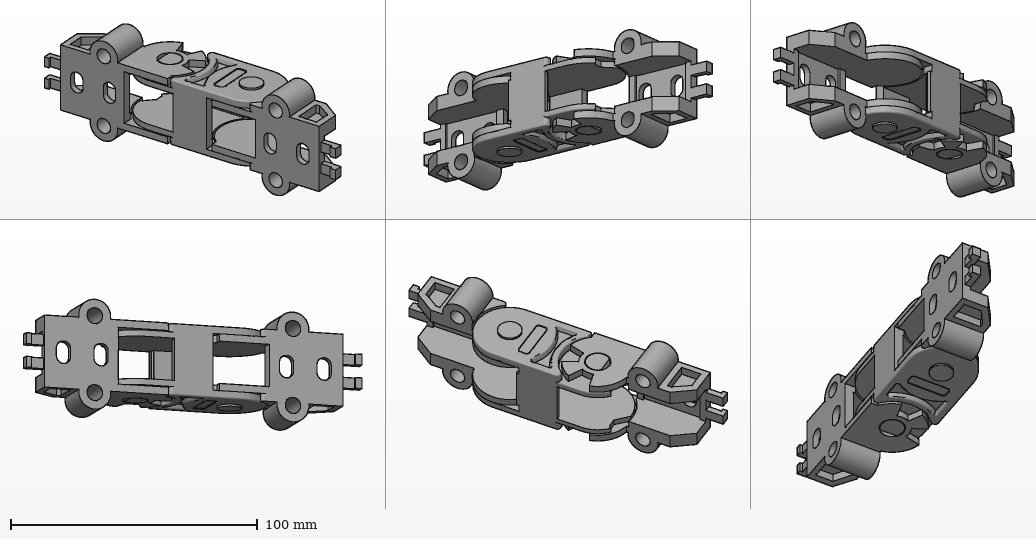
import cadquery as cq
import math


SELECT_MARGIN = 0.1

DEPTH = 30.1
PIVOT_X = 20.1
PIVOT_Y = DEPTH / 2
CHEEK_RADIUS = DEPTH / 2
CLEARANCE_RADIUS = 15.9

CHANNEL_Z = 8.7
LINK_INNER_Z = 11.3
CHEEK_SPLIT_Z = 11.8
OUTER_Z = 14.9

BRACKET_END_X = 63.7
BRACKET_HEIGHT = 18.2
BRACKET_SLOPE_Y = 11.9
BRACKET_SLOPE_X = 54.6
FLOOR_THICKNESS = 3.9
FLOOR_INNER_X = 32.3
RIGHT_FLOOR_SLANT = 0.7
FLOOR_RECESS_DEPTH = 1.0
FLOOR_RECESS_X = (35.1, 61.0)
ARM_FOOT = 9.2
RIGHT_FOOT = 8.9
CORNER_ROUND = 1.6

BOSS_X = 42.3
BOSS_Z = 15.9
BOSS_OUTER_Z = 22.73
BOSS_RADIUS = BOSS_OUTER_Z - BOSS_Z
SCREW_HOLE_RADIUS = 3.3
SLOT_XS = (39.6, 55.6)
SLOT_WIDTH = 6.0
SLOT_LENGTH = 9.3

POCKET_INNER_X = 51.9
POCKET_OUTER_X = 60.7
POCKET_CORNER_X = 53.6
POCKET_BOTTOM_Y = 2.6
POCKET_CORNER_Y = 10.5
POCKET_TOP_Y = 15.0
POCKET_DEPTH = 3.7

LEFT_TAB_TIP_X = 71.5
RIGHT_TAB_TIP_X = 71.8
LEFT_HOOK = 2.2
RIGHT_HOOK = 2.9
TAB_CENTER_Z = 4.9
TAB_WIDTH = 4.5
HOOK_DROP = 1.3

PIN_RADIUS = 5.0
PIN_HOLE_RADIUS = 5.3
PIN_PROTRUSION = 0.9
RAMP_START = 3.5
RAMP_DROP = 3.5

NOTCH_ROOT_RADIUS = 7.7
TOOTH_TIP_RADIUS = 14.6
NOTCH_START_ANGLE = -15
TOOTH_ANGLES = (27, 63)
NOTCH_END_ANGLE = 104

DETENT_FLOOR_X = -30.1
DETENT_FLOOR_Y = (20.1, 24.1)

LINK_LEFT_X = -10.2
LINK_EDGE_FILLET = 0.7
FRONT_WALL_HALF = 8.2
REAR_WALL_INNER_Y = 26.8
REAR_WALL_EDGE = ((8.2, 27.5), (8.9, 28.0), (9.3, 28.5))
BOWTIE_HALF_WIDTH = 5.5
BOWTIE_HALF_HEIGHT = 12.8
BOWTIE_ARC_RADIUS = 18.0
BOWTIE_DEPTH = 2.0
BOWTIE_TAPER = 22
BOWTIE_CORNER_ROUND = 0.6
BOWTIE_LIP = 0.7
BOWTIE_LIP_FILLET = 0.7
INDICATOR_X = 9.6
INDICATOR_WIDTH = 4.9
INDICATOR_HEIGHT = 17.8
INDICATOR_ROUND = 1.3
INDICATOR_DEPTH = 0.5


def box(x0, x1, y0, y1, z0, z1):
    return cq.Workplane("XY").box(x1 - x0, y1 - y0, z1 - z0, centered=False).translate((x0, y0, z0))


def pivot_disc(side, radius, z0, z1):
    """Round plate about the left (-1) or right (+1) pivot axis."""
    return cq.Workplane("XY", origin=(side * PIVOT_X, PIVOT_Y, z0)).circle(radius).extrude(z1 - z0)


def both_cheeks(cheek):
    """The shape together with its mirror image across the mid-plane."""
    return cheek.union(cheek.mirror("XY"))



def bracket_block(side, inner_x):
    """One cheek of a bracket with a sloped outer corner."""
    outline = [
        (side * inner_x, 0),
        (side * inner_x, BRACKET_HEIGHT),
        (side * BRACKET_SLOPE_X, BRACKET_HEIGHT),
        (side * BRACKET_END_X, BRACKET_SLOPE_Y),
        (side * BRACKET_END_X, 0),
    ]
    return cq.Workplane("XY", origin=(0, 0, CHANNEL_Z)).polyline(outline).close().extrude(OUTER_Z - CHANNEL_Z)


def screw_boss(side):
    boss = cq.Workplane("XZ", origin=(side * BOSS_X, 0, BOSS_Z)).circle(BOSS_RADIUS)
    return boss.extrude(-BRACKET_HEIGHT)


def screw_hole(side):
    hole = cq.Workplane("XZ", origin=(side * BOSS_X, 0, BOSS_Z)).circle(SCREW_HOLE_RADIUS)
    return hole.extrude(-BRACKET_HEIGHT)


def cheek_pocket(side):
    outline = [
        (side * POCKET_INNER_X, POCKET_BOTTOM_Y),
        (side * POCKET_INNER_X, POCKET_TOP_Y),
        (side * POCKET_CORNER_X, POCKET_TOP_Y),
        (side * POCKET_OUTER_X, POCKET_CORNER_Y),
        (side * POCKET_OUTER_X, POCKET_BOTTOM_Y),
    ]
    return cq.Workplane("XY", origin=(0, 0, OUTER_Z)).polyline(outline).close().extrude(-POCKET_DEPTH)


def bracket_floor(side, edge_slant):
    """Mounting plate between the cheeks, thinned around its two upright slots."""
    outline = [
        (side * FLOOR_INNER_X, 0),
        (side * (FLOOR_INNER_X - edge_slant), FLOOR_THICKNESS),
        (side * BRACKET_END_X, FLOOR_THICKNESS),
        (side * BRACKET_END_X, 0),
    ]
    floor = (
        cq.Workplane("XY", origin=(0, 0, -CHANNEL_Z)).polyline(outline).close().extrude(2 * CHANNEL_Z)
    )
    recess_start, recess_end = sorted(side * x for x in FLOOR_RECESS_X)
    recess_y = FLOOR_THICKNESS - FLOOR_RECESS_DEPTH
    floor = floor.cut(box(recess_start, recess_end, recess_y, FLOOR_THICKNESS, -CHANNEL_Z, CHANNEL_Z))
    slots = (
        cq.Workplane("XZ")
        .pushPoints([(side * x, 0) for x in SLOT_XS])
        .slot2D(SLOT_LENGTH, SLOT_WIDTH, 90)
        .extrude(-FLOOR_THICKNESS)
    )
    return floor.cut(slots)


def hooked_tabs(side, tip_x, hook):
    outline = [
        (side * BRACKET_END_X, HOOK_DROP),
        (side * BRACKET_END_X, FLOOR_THICKNESS),
        (side * tip_x, FLOOR_THICKNESS),
        (side * tip_x, 0),
        (side * (tip_x - hook), 0),
        (side * (tip_x - hook), HOOK_DROP),
    ]
    start_z = TAB_CENTER_Z - TAB_WIDTH / 2
    return both_cheeks(cq.Workplane("XY", origin=(0, 0, start_z)).polyline(outline).close().extrude(TAB_WIDTH))



def stop_notch(start_angle, end_angle, root_radius):
    """Sector cut from the arm, open at the rim and ending on a round root."""
    reach = 2 * CHEEK_RADIUS
    rim = [
        (reach * math.cos(math.radians(a)), reach * math.sin(math.radians(a)))
        for a in (start_angle, end_angle)
    ]
    height = OUTER_Z - CHEEK_SPLIT_Z
    wedge = (
        cq.Workplane("XY", origin=(-PIVOT_X, PIVOT_Y, CHEEK_SPLIT_Z))
        .polyline([(0, 0), *rim])
        .close()
        .extrude(height)
    )
    return wedge.cut(pivot_disc(-1, root_radius, CHEEK_SPLIT_Z, OUTER_Z))


def make_left_bracket():
    cheek = bracket_block(-1, FLOOR_INNER_X).union(screw_boss(-1))
    cheek = cheek.cut(pivot_disc(-1, CLEARANCE_RADIUS, CHANNEL_Z, CHEEK_SPLIT_Z))
    arm = pivot_disc(-1, CHEEK_RADIUS, CHEEK_SPLIT_Z, OUTER_Z)
    arm = arm.union(box(-FLOOR_INNER_X, -PIVOT_X + ARM_FOOT, 0, PIVOT_Y, CHEEK_SPLIT_Z, OUTER_Z))
    tooth_start, tooth_end = TOOTH_ANGLES
    arm = arm.cut(stop_notch(NOTCH_START_ANGLE, tooth_start, NOTCH_ROOT_RADIUS))
    arm = arm.cut(stop_notch(tooth_start, tooth_end, TOOTH_TIP_RADIUS))
    arm = arm.cut(stop_notch(tooth_end, NOTCH_END_ANGLE, NOTCH_ROOT_RADIUS))
    cheek = cheek.union(arm).cut(pivot_disc(-1, PIN_HOLE_RADIUS, CHEEK_SPLIT_Z, OUTER_Z))
    cheek = cheek.cut(screw_hole(-1)).cut(cheek_pocket(-1))
    return both_cheeks(cheek).union(bracket_floor(-1, 0)).union(hooked_tabs(-1, LEFT_TAB_TIP_X, LEFT_HOOK))



def make_right_bracket():
    cheek = bracket_block(1, PIVOT_X + RIGHT_FOOT).union(screw_boss(1))
    cheek = cheek.cut(box(0, FLOOR_INNER_X, 0, DEPTH, CHANNEL_Z, CHEEK_SPLIT_Z))
    cheek = cheek.cut(pivot_disc(1, CLEARANCE_RADIUS, CHEEK_SPLIT_Z, OUTER_Z))
    foot_corner = cq.selectors.NearestToPointSelector((PIVOT_X + RIGHT_FOOT, 0, OUTER_Z))
    cheek = cheek.edges("|Z").edges(foot_corner).fillet(CORNER_ROUND)
    arm = pivot_disc(1, CHEEK_RADIUS, CHANNEL_Z, CHEEK_SPLIT_Z)
    arm = arm.union(box(PIVOT_X - ARM_FOOT, BOSS_X, 0, PIVOT_Y, CHANNEL_Z, CHEEK_SPLIT_Z))
    pin = pivot_disc(1, PIN_RADIUS, CHEEK_SPLIT_Z, OUTER_Z + PIN_PROTRUSION)
    cheek = cheek.union(arm).union(pin).cut(screw_hole(1)).cut(cheek_pocket(1))
    floor = bracket_floor(1, RIGHT_FLOOR_SLANT)
    return both_cheeks(cheek).union(floor).union(hooked_tabs(1, RIGHT_TAB_TIP_X, RIGHT_HOOK))



def link_outer_plate():
    """Raised cheek from the concave left end to the round right end, with softened edges."""
    plate = box(LINK_LEFT_X, PIVOT_X, 0, DEPTH, CHANNEL_Z, OUTER_Z)
    plate = plate.edges("|Z and <X").fillet(CORNER_ROUND)
    plate = plate.union(pivot_disc(1, CHEEK_RADIUS, CHANNEL_Z, OUTER_Z))
    plate = plate.cut(pivot_disc(-1, CLEARANCE_RADIUS, CHANNEL_Z, OUTER_Z))
    return plate.faces(">Z").edges().fillet(LINK_EDGE_FILLET)


def bowtie_pocket():
    """Sloped pocket between two arcs centred on the pivots, inset to leave room for its rounded lip."""
    arc_radius = BOWTIE_ARC_RADIUS + BOWTIE_LIP
    w = BOWTIE_HALF_WIDTH - BOWTIE_LIP
    h = BOWTIE_HALF_HEIGHT - BOWTIE_LIP
    corner_y = math.sqrt(arc_radius**2 - (PIVOT_X - w) ** 2)
    waist = PIVOT_X - arc_radius
    pocket = (
        cq.Workplane("XY", origin=(0, PIVOT_Y, OUTER_Z))
        .moveTo(-w, corner_y)
        .lineTo(-w, h)
        .lineTo(w, h)
        .lineTo(w, corner_y)
        .threePointArc((waist, 0), (w, -corner_y))
        .lineTo(w, -h)
        .lineTo(-w, -h)
        .lineTo(-w, -corner_y)
        .threePointArc((-waist, 0), (-w, corner_y))
        .close()
        .extrude(-BOWTIE_DEPTH, taper=BOWTIE_TAPER)
    )
    for side_x in (-w, w):
        for side_y in (PIVOT_Y - h, PIVOT_Y + h):
            corner = cq.selectors.NearestToPointSelector((side_x, side_y, OUTER_Z - BOWTIE_DEPTH / 2))
            pocket = pocket.edges("not #Z").edges(corner).fillet(BOWTIE_CORNER_ROUND)
    return pocket


def cut_bowtie(cheek):
    """Sink the bowtie pocket and round its lip."""
    reach_x = BOWTIE_HALF_WIDTH
    reach_y = BOWTIE_HALF_HEIGHT
    lip = cq.selectors.BoxSelector(
        (-reach_x, PIVOT_Y - reach_y, OUTER_Z - SELECT_MARGIN),
        (reach_x, PIVOT_Y + reach_y, OUTER_Z + SELECT_MARGIN),
        boundingbox=True,
    )
    return cheek.cut(bowtie_pocket()).edges(lip).fillet(BOWTIE_LIP_FILLET)


def indicator_recess():
    outline = cq.Workplane("XY", origin=(INDICATOR_X, PIVOT_Y, OUTER_Z))
    outline = outline.rect(INDICATOR_WIDTH, INDICATOR_HEIGHT)
    return outline.extrude(-INDICATOR_DEPTH).edges("|Z").fillet(INDICATOR_ROUND)


def detent_notch():
    """Rim notch with a flat floor and 45-degree walls that open outboard."""
    low_y, high_y = DETENT_FLOOR_Y
    run = CHEEK_RADIUS / 2
    outline = [
        (DETENT_FLOOR_X, low_y),
        (DETENT_FLOOR_X, high_y),
        (DETENT_FLOOR_X - run, high_y + run),
        (DETENT_FLOOR_X - run, low_y - run),
    ]
    height = LINK_INNER_Z - CHANNEL_Z
    return cq.Workplane("XY", origin=(0, 0, CHANNEL_Z)).polyline(outline).close().extrude(height)


def link_inner_plate():
    """Plate round about the left pivot, its rim softened on the rear half only."""
    plate = pivot_disc(-1, CHEEK_RADIUS, CHANNEL_Z, LINK_INNER_Z)
    plate = plate.union(box(-PIVOT_X, FRONT_WALL_HALF, 0, DEPTH, CHANNEL_Z, LINK_INNER_Z))
    left_x = -PIVOT_X - CHEEK_RADIUS
    front_half = plate.intersect(box(left_x, FRONT_WALL_HALF, 0, PIVOT_Y, CHANNEL_Z, LINK_INNER_Z))
    rim = cq.selectors.BoxSelector(
        (left_x - SELECT_MARGIN, SELECT_MARGIN, LINK_INNER_Z - SELECT_MARGIN),
        (FRONT_WALL_HALF - SELECT_MARGIN, DEPTH + SELECT_MARGIN, LINK_INNER_Z + SELECT_MARGIN),
    )
    return plate.edges(rim).fillet(LINK_EDGE_FILLET).union(front_half).cut(detent_notch())


def ramped_pin():
    """Pivot pin with a lead-in ramp on its outboard side."""
    pin = pivot_disc(-1, PIN_RADIUS, CHANNEL_Z, OUTER_Z)
    edge_x = -PIVOT_X - PIN_RADIUS
    ramp = (
        cq.Workplane("XZ")
        .polyline([(edge_x, OUTER_Z), (-PIVOT_X - RAMP_START, OUTER_Z), (edge_x, OUTER_Z - RAMP_DROP)])
        .close()
        .extrude(-DEPTH)
    )
    return pin.cut(ramp)


def cross_walls():
    """Front and rear walls joining the two cheeks of the link."""
    front = box(-FRONT_WALL_HALF, FRONT_WALL_HALF, 0, FLOOR_THICKNESS, -CHANNEL_Z, CHANNEL_Z)
    narrow_half = REAR_WALL_EDGE[0][0]
    wide_half = REAR_WALL_EDGE[-1][0]
    right_edge = [(narrow_half, REAR_WALL_INNER_Y), *REAR_WALL_EDGE, (wide_half, DEPTH)]
    left_edge = [(-x, y) for x, y in reversed(right_edge)]
    rear = (
        cq.Workplane("XY", origin=(0, 0, -CHANNEL_Z))
        .polyline(right_edge + left_edge)
        .close()
        .extrude(2 * CHANNEL_Z)
    )
    return front, rear


def make_link():
    cheek = link_inner_plate().union(link_outer_plate())
    cheek = cheek.cut(pivot_disc(1, CLEARANCE_RADIUS, CHANNEL_Z, CHEEK_SPLIT_Z))
    cheek = cheek.cut(box(FRONT_WALL_HALF, 2 * PIVOT_X, 0, DEPTH, CHANNEL_Z, CHEEK_SPLIT_Z))
    cheek = cheek.cut(pivot_disc(1, PIN_RADIUS, CHEEK_SPLIT_Z, OUTER_Z))
    cheek = cut_bowtie(cheek).cut(indicator_recess()).union(ramped_pin())
    link = both_cheeks(cheek)
    for wall in cross_walls():
        link = link.union(wall)
    return link


left_bracket = make_left_bracket()
right_bracket = make_right_bracket()
link = make_link()

result = cq.Compound.makeCompound([left_bracket.val(), link.val(), right_bracket.val()])